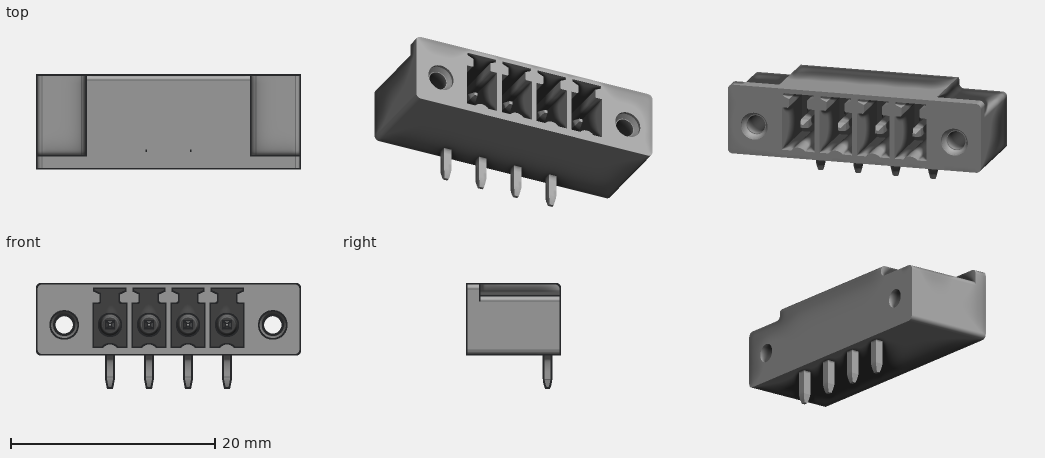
import cadquery as cq
import math

LENGTH = 25.83
DEPTH = 9.2
HEIGHT = 7.0
OVERALL_HEIGHT = 10.25
EDGE_RADIUS = 0.5

FLANGE_THICKNESS = 1.3
BLOCK_WIDTH = 16.07
WING_HEIGHT = 5.79

CONTACT_COUNT = 4
PITCH = 3.82
AXIS_Z = 2.95
CONTACT_X = [(i - (CONTACT_COUNT - 1) / 2) * PITCH for i in range(CONTACT_COUNT)]

POCKET_WIDTH = 3.3
POCKET_FLOOR_Z = 0.77
POCKET_DEPTH = 6.97
SHOULDER_Z = 5.1
NECK_WIDTH = 1.85
NECK_TOP_Z = 6.0
NECK_CORNER_RADIUS = 0.15
LIP_WIDTH = 3.13
LIP_Z = 6.28
POCKET_TOP_Z = 6.53
RIDGE_WIDTH = 1.45
RIDGE_HEIGHT = 0.34

COLLAR_RADIUS = 1.1
COLLAR_END_RADIUS = 0.83
COLLAR_HEIGHT = 0.9
COLLAR_EDGE_RADIUS = 0.13

SCREW_SPACING = 20.43
SCREW_RADIUS = 0.93
COUNTERSINK_RADIUS = 1.37
COUNTERSINK_END_RADIUS = 1.0
COUNTERBORE_DEPTH = 0.3
COUNTERSINK_DEPTH = 0.7

PIN_WIDTH = 0.8
PIN_TIP_Y = 1.3
TAIL_TO_BACK = 1.27
TAIL_Y = DEPTH - TAIL_TO_BACK
TAIL_END_Z = HEIGHT - OVERALL_HEIGHT
POINT_LENGTH = 1.03
POINT_TIP_WIDTH = 0.3
TAPER_HEIGHT_X = 0.88
TAPER_HEIGHT_Y = 1.1
TAPER_TIP_WIDTH_X = 0.46
TAPER_TIP_WIDTH_Y = 0.34


def make_box(x_min, x_max, y_min, y_max, z_min, z_max):
    size = (x_max - x_min, y_max - y_min, z_max - z_min)
    return cq.Workplane("XY").box(*size, centered=False).translate((x_min, y_min, z_min))


def make_wing_cut(side):
    """Volume removed above one wing, rounded at its inner corner and over the outer edge."""
    inner_x = side * BLOCK_WIDTH / 2
    outer_x = side * LENGTH / 2
    r = EDGE_RADIUS
    diagonal = r * (1 - math.sqrt(0.5))
    return (
        cq.Workplane("XZ", origin=(0, FLANGE_THICKNESS, 0))
        .moveTo(inner_x, HEIGHT)
        .lineTo(inner_x, WING_HEIGHT + r)
        .threePointArc(
            (inner_x + side * diagonal, WING_HEIGHT + diagonal),
            (inner_x + side * r, WING_HEIGHT),
        )
        .lineTo(outer_x - side * r, WING_HEIGHT)
        .threePointArc(
            (outer_x - side * diagonal, WING_HEIGHT - diagonal),
            (outer_x, WING_HEIGHT - r),
        )
        .lineTo(outer_x, HEIGHT)
        .close()
        .extrude(FLANGE_THICKNESS - DEPTH)
    )


def make_shell():
    """Flange, centre block and wings without any holes."""
    shell = make_box(-LENGTH / 2, LENGTH / 2, 0, DEPTH, 0, HEIGHT).edges("|Y").fillet(EDGE_RADIUS)
    for side in (-1, 1):
        shell = shell.cut(make_wing_cut(side))
    return shell.faces(">Z").edges(">Y").fillet(EDGE_RADIUS)


def make_pocket(x):
    """T-headed plug pocket with a rounded ridge along its floor."""
    near = NECK_CORNER_RADIUS / 2
    neck_corners = cq.selectors.BoxSelector(
        (x - NECK_WIDTH / 2 - near, 0, SHOULDER_Z - near),
        (x + NECK_WIDTH / 2 + near, POCKET_DEPTH, SHOULDER_Z + near),
    )
    return (
        cq.Workplane("XZ", origin=(x, 0, 0))
        .moveTo(-POCKET_WIDTH / 2, POCKET_FLOOR_Z)
        .lineTo(-RIDGE_WIDTH / 2, POCKET_FLOOR_Z)
        .threePointArc((0, POCKET_FLOOR_Z + RIDGE_HEIGHT), (RIDGE_WIDTH / 2, POCKET_FLOOR_Z))
        .lineTo(POCKET_WIDTH / 2, POCKET_FLOOR_Z)
        .lineTo(POCKET_WIDTH / 2, SHOULDER_Z)
        .lineTo(NECK_WIDTH / 2, SHOULDER_Z)
        .lineTo(NECK_WIDTH / 2, NECK_TOP_Z)
        .lineTo(LIP_WIDTH / 2, LIP_Z)
        .lineTo(LIP_WIDTH / 2, POCKET_TOP_Z)
        .lineTo(-LIP_WIDTH / 2, POCKET_TOP_Z)
        .lineTo(-LIP_WIDTH / 2, LIP_Z)
        .lineTo(-NECK_WIDTH / 2, NECK_TOP_Z)
        .lineTo(-NECK_WIDTH / 2, SHOULDER_Z)
        .lineTo(-POCKET_WIDTH / 2, SHOULDER_Z)
        .close()
        .extrude(-POCKET_DEPTH)
        .edges("|Y")
        .edges(neck_corners)
        .fillet(NECK_CORNER_RADIUS)
    )


def make_collar(x):
    """Cone with a rounded rim around a contact, standing on the pocket's back wall."""
    return (
        cq.Workplane("XY", origin=(x, POCKET_DEPTH, AXIS_Z))
        .lineTo(COLLAR_RADIUS, 0)
        .lineTo(COLLAR_END_RADIUS, -COLLAR_HEIGHT)
        .lineTo(0, -COLLAR_HEIGHT)
        .close()
        .revolve(360, (0, 0, 0), (0, 1, 0))
        .faces("<Y")
        .edges()
        .fillet(COLLAR_EDGE_RADIUS)
    )


def make_screw_hole(x):
    """Through hole with a shallow counterbore and a conical seat at the mating face."""
    return (
        cq.Workplane("XY", origin=(x, 0, AXIS_Z))
        .lineTo(COUNTERSINK_RADIUS, 0)
        .lineTo(COUNTERSINK_RADIUS, COUNTERBORE_DEPTH)
        .lineTo(COUNTERSINK_END_RADIUS, COUNTERSINK_DEPTH)
        .lineTo(SCREW_RADIUS, COUNTERSINK_DEPTH)
        .lineTo(SCREW_RADIUS, DEPTH)
        .lineTo(0, DEPTH)
        .close()
        .revolve(360, (0, 0, 0), (0, 1, 0))
    )


def make_point(x):
    """Four-sided point at the mating end of a pin."""
    return (
        cq.Workplane("XZ", origin=(x, PIN_TIP_Y, AXIS_Z))
        .rect(POINT_TIP_WIDTH, POINT_TIP_WIDTH)
        .workplane(offset=-POINT_LENGTH)
        .rect(PIN_WIDTH, PIN_WIDTH)
        .loft(ruled=True)
    )


def make_tail_taper(x):
    """Tail tip with flat tapered sides in X and curved sides in Y that start tangent to the leg."""
    inset = (PIN_WIDTH - TAPER_TIP_WIDTH_Y) / 2
    start_z = TAIL_END_Z + TAPER_HEIGHT_Y
    flat_start_z = TAIL_END_Z + TAPER_HEIGHT_X
    curve_radius = (TAPER_HEIGHT_Y**2 + inset**2) / (2 * inset)
    half_x = half_y = PIN_WIDTH / 2
    half_tip_y = TAPER_TIP_WIDTH_Y / 2
    half_tip_x = TAPER_TIP_WIDTH_X / 2
    across_x = (
        cq.Workplane("XZ", origin=(x, TAIL_Y - half_y, 0))
        .moveTo(-half_x, start_z)
        .lineTo(-half_x, flat_start_z)
        .lineTo(-half_tip_x, TAIL_END_Z)
        .lineTo(half_tip_x, TAIL_END_Z)
        .lineTo(half_x, flat_start_z)
        .lineTo(half_x, start_z)
        .close()
        .extrude(-PIN_WIDTH)
    )
    along_y = (
        cq.Workplane("YZ", origin=(x - half_x, TAIL_Y, 0))
        .moveTo(half_y, start_z)
        .radiusArc((half_tip_y, TAIL_END_Z), curve_radius)
        .lineTo(-half_tip_y, TAIL_END_Z)
        .radiusArc((-half_y, start_z), curve_radius)
        .close()
        .extrude(PIN_WIDTH)
    )
    return across_x.intersect(along_y)


def make_pin(x):
    """Right-angle pin: mating leg along Y and solder tail along -Z."""
    half = PIN_WIDTH / 2
    mating_leg = make_box(
        x - half, x + half, PIN_TIP_Y + POINT_LENGTH, TAIL_Y + half, AXIS_Z - half, AXIS_Z + half
    )
    tail_leg = make_box(
        x - half, x + half, TAIL_Y - half, TAIL_Y + half, TAIL_END_Z + TAPER_HEIGHT_Y, AXIS_Z + half
    )
    return mating_leg.union(tail_leg).union(make_point(x)).union(make_tail_taper(x))


def make_housing(pins):
    """Housing with pockets, collars, screw holes and a fitted passage for every pin."""
    body = make_shell()
    for x in CONTACT_X:
        body = body.cut(make_pocket(x)).union(make_collar(x))
    for side in (-1, 1):
        body = body.cut(make_screw_hole(side * SCREW_SPACING / 2))
    for pin in pins:
        body = body.cut(pin)
    return body


pins = [make_pin(x) for x in CONTACT_X]
housing = make_housing(pins)

result = cq.Compound.makeCompound([housing.val(), *[pin.val() for pin in pins]])